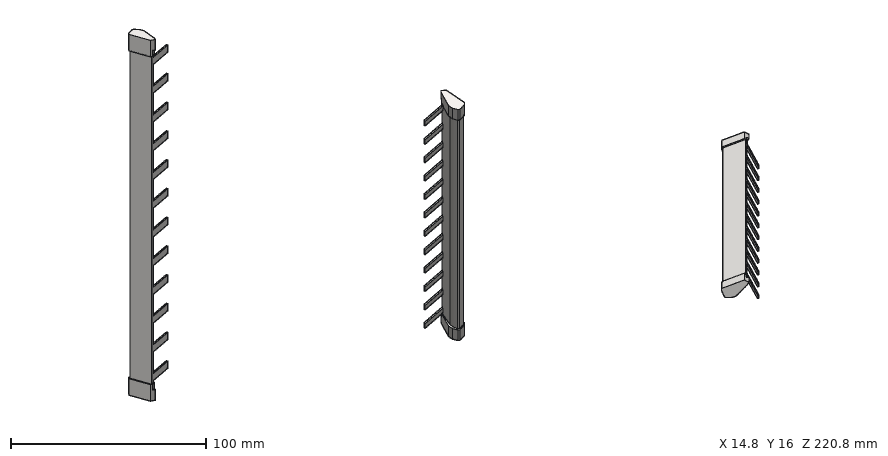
import cadquery as cq

length = 220.8
cap_length = 10.2
nose_length = 6.6

cap_right = 13.7
cap_bevel_width = 0.7
cap_bevel_depth = 0.9
cap_side_top = 4.9
cap_crest = 6.6
cap_slope_foot = 2.9

rail_inset = 0.7
rail_right = 13.5
rail_bevel = 0.2
rail_side_top = 4.5
rail_crest = 5.5
rail_slope_foot = 2.6

shoulder_width = 0.7
shoulder_height = 0.7
crest_left = 3.5
crest_right = 6.0

nose_tip = (14.8, 2.0)
nose_inside = 0.7

tab_count = 12
tab_width = 4.5
tab_margin = 11.5
tab_thickness = 0.9
tab_root = (12.5, 2.2)
tab_end = (14.8, 16.0)


def prism(outline, start, height):
    """Extrude a closed XY outline along Z."""
    return cq.Workplane("XY").workplane(offset=start).polyline(outline).close().extrude(height)


def wedge_outline(inset, right, bevel_width, bevel_depth, slope_foot, crest, side_top):
    """Wedge section whose front face and left side lie at the given inset."""
    return [
        (inset + bevel_width, inset),
        (right - bevel_width, inset),
        (right, inset + bevel_depth),
        (right, slope_foot),
        (crest_right, crest),
        (crest_left, crest),
        (inset + shoulder_width, side_top + shoulder_height),
        (inset, side_top),
        (inset, inset + bevel_depth),
    ]


def rail():
    """Rail running the full length, through both caps."""
    outline = wedge_outline(
        rail_inset, rail_right, rail_bevel, rail_bevel, rail_slope_foot, rail_crest, rail_side_top
    )
    return prism(outline, 0, length)


def end_cap(cap_start, nose_start):
    """End cap with its shorter nose."""
    cap_outline = wedge_outline(
        0, cap_right, cap_bevel_width, cap_bevel_depth, cap_slope_foot, cap_crest, cap_side_top
    )
    nose_outline = [
        (cap_right - nose_inside, cap_bevel_depth),
        (cap_right, cap_bevel_depth),
        nose_tip,
        (cap_right, cap_slope_foot),
        (cap_right - nose_inside, cap_slope_foot),
    ]
    cap = prism(cap_outline, cap_start, cap_length)
    return cap.union(prism(nose_outline, nose_start, nose_length))


def tab(start):
    """Thin tab leaning slightly to the right."""
    outline = [
        tab_root,
        (tab_root[0] + tab_thickness, tab_root[1]),
        tab_end,
        (tab_end[0] - tab_thickness, tab_end[1]),
    ]
    return prism(outline, start, tab_width)


result = rail()
result = result.union(end_cap(0, 0))
result = result.union(end_cap(length - cap_length, length - nose_length))

tab_pitch = (length - 2 * tab_margin - tab_width) / (tab_count - 1)
for index in range(tab_count):
    result = result.union(tab(tab_margin + index * tab_pitch))